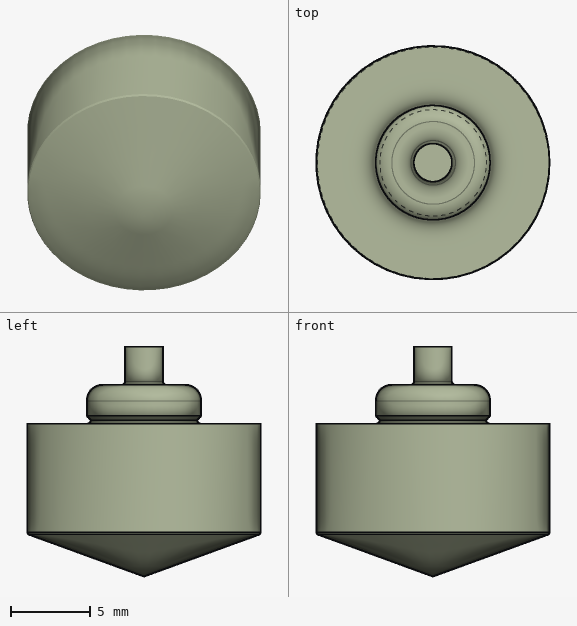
import cadquery as cq
import math

base_radius = 7.35
base_height = 9.63
tip_slope = math.radians(20.0)
rim_inset = 0.066
rim_drop = 0.13
foot_fillet = 0.2

cap_radius = 3.6
cap_top = 12.07
dome_fillet = 1.0
bevel_inset = 0.25
bevel_height = 0.28
pin_diameter = 2.4
overall_height = 14.46

pin_radius = pin_diameter / 2
boss_radius = cap_radius - bevel_inset
boss_top = base_height + foot_fillet
cone_radius = base_radius - rim_inset
cone_height = cone_radius * math.tan(tip_slope)


def revolve_about_z(profile):
    """Turn a closed half-profile, drawn in XZ, into a solid about the Z axis."""
    return profile.close().revolve(360, (0, 0), (0, 1))


def make_base():
    """Base with its cone tip at the origin, bevelled rim and flared boss."""
    profile = (
        cq.Workplane("XZ")
        .lineTo(cone_radius, cone_height)
        .lineTo(base_radius, cone_height + rim_drop)
        .lineTo(base_radius, base_height)
        .lineTo(boss_radius + foot_fillet, base_height)
        .radiusArc((boss_radius, boss_top), foot_fillet)
        .lineTo(0, boss_top)
    )
    return revolve_about_z(profile)


def make_cap():
    """Bevelled, domed cap in one piece with its pin."""
    profile = (
        cq.Workplane("XZ")
        .moveTo(0, boss_top)
        .lineTo(boss_radius, boss_top)
        .lineTo(cap_radius, boss_top + bevel_height)
        .lineTo(cap_radius, cap_top - dome_fillet)
        .radiusArc((cap_radius - dome_fillet, cap_top), -dome_fillet)
        .lineTo(pin_radius + foot_fillet, cap_top)
        .radiusArc((pin_radius, cap_top + foot_fillet), foot_fillet)
        .lineTo(pin_radius, overall_height)
        .lineTo(0, overall_height)
    )
    return revolve_about_z(profile)


base = make_base()
cap = make_cap()
result = cq.Compound.makeCompound([base.val(), cap.val()])